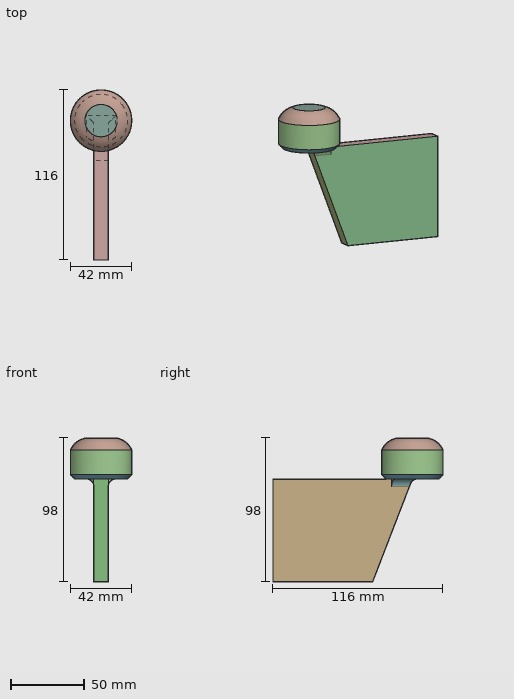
import cadquery as cq
import math

total_length = 116.0
total_height = 98.0

knob_diameter = 42.0
knob_height = 28.0
knob_chamfer = 3.0
dome_height = 8.0
dome_top_radius = 11.0
dome_arc_radius = 15.0

plate_thickness = 10.0
plate_slant_run = 27.0
flare_radius = 5.0
flare_limit_radius = 15.0

backing_thickness = 5.8

knob_radius = knob_diameter / 2
plate_height = total_height - knob_height
plate_far_y = knob_radius - total_length


def dome_arc_middle(start, end, radius):
    """Middle point of the arc of the given radius that bulges up and outward between two points."""
    run = end[0] - start[0]
    rise = end[1] - start[1]
    chord = math.hypot(run, rise)
    bulge = radius - math.sqrt(radius**2 - (chord / 2) ** 2)
    middle_r = (start[0] + end[0]) / 2 + bulge * rise / chord
    middle_z = (start[1] + end[1]) / 2 - bulge * run / chord
    return (middle_r, middle_z)


def make_knob():
    """Round knob with a chamfered bottom rim, a domed shoulder and a flat top."""
    shoulder = (knob_radius, knob_height - dome_height)
    dome_top = (dome_top_radius, knob_height)
    return (
        cq.Workplane("XZ")
        .lineTo(knob_radius - knob_chamfer, 0)
        .lineTo(knob_radius, knob_chamfer)
        .lineTo(*shoulder)
        .threePointArc(dome_arc_middle(shoulder, dome_top, dome_arc_radius), dome_top)
        .lineTo(0, knob_height)
        .close()
        .revolve(360, (0, 0, 0), (0, 1, 0))
    )


def make_plain_plate():
    """Flat plate with one slanted end, centred on X = 0."""
    outline = [
        (0, 0),
        (-plate_slant_run, -plate_height),
        (plate_far_y, -plate_height),
        (plate_far_y, 0),
    ]
    return cq.Workplane("YZ").polyline(outline).close().extrude(plate_thickness / 2, both=True)


def make_flare(plain_plate):
    """Top of the plate flaring out in concave fillets against the knob, kept inside a circle."""
    backing = (
        cq.Workplane("XY")
        .rect(2 * knob_diameter, 2 * total_length)
        .extrude(backing_thickness)
    )
    flare_edges = cq.selectors.BoxSelector(
        (-plate_thickness, plate_far_y + flare_radius, -flare_radius / 2),
        (plate_thickness, flare_radius, flare_radius / 2),
    )
    flared = plain_plate.union(backing).edges(flare_edges).fillet(flare_radius)
    limit = cq.Workplane("XY").circle(flare_limit_radius).extrude(-2 * flare_radius)
    return flared.intersect(limit)


def make_plate():
    """Plate with its flared top under the knob."""
    plain_plate = make_plain_plate()
    return plain_plate.union(make_flare(plain_plate))


knob = make_knob()
plate = make_plate()

result = cq.Compound.makeCompound([knob.val(), plate.solids().val()])